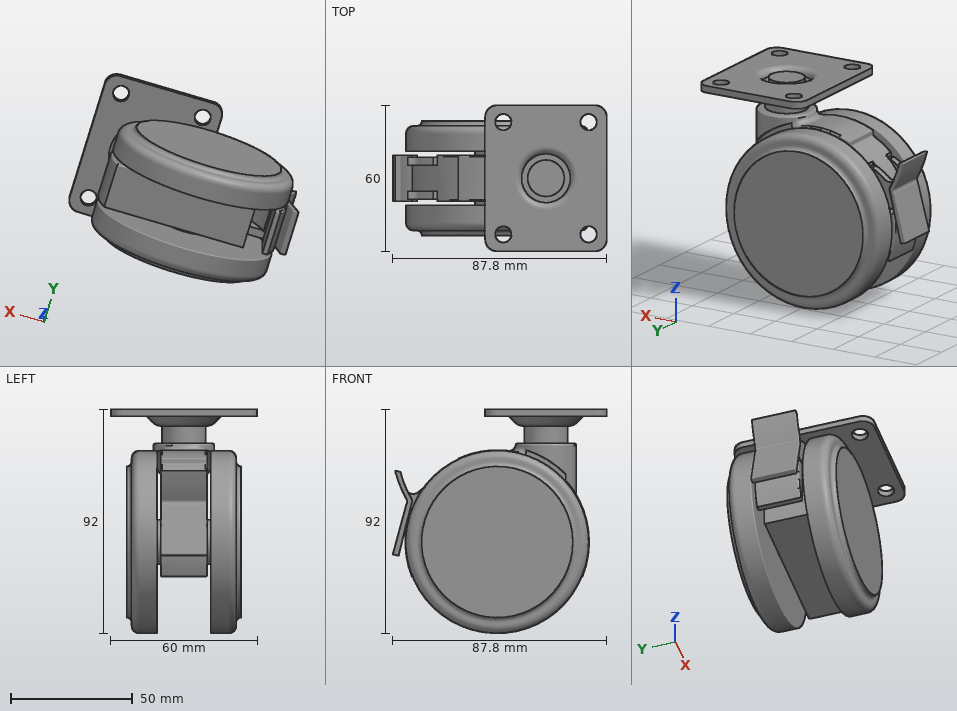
import cadquery as cq
import math


wheel_radius = 37.5
wheel_inner_y = 11.0
wheel_outer_y = 23.5
tread_round = 3.25
hub_face_radius = 31.0
hub_face_height = 2.0
wheel_inner_round = 0.5

swivel_x = 20.0
plate_length = 50.0
plate_width = 60.0
plate_thickness = 3.0
plate_top_z = 54.5
plate_bottom_z = plate_top_z - plate_thickness
plate_corner_radius = 5.0
screw_hole_diameter = 6.6
screw_spacing_x = 35.0
screw_spacing_y = 46.0

dish_floor_radius = 10.0
dish_depth = 3.0
dish_bottom_z = 47.5
dish_under_flat_radius = 9.0
dish_under_round = 5.4

pin_radius = 9.0
pin_head_radius = 7.5
pin_head_top_z = plate_top_z - 1.0
pin_bottom_round = 0.5

housing_half_width = 9.5
cover_radius = 37.75
cover_step = 2.0
body_radius = cover_radius - cover_step
cover_step_round = 0.7
cover_start_x = -16.0
housing_bottom_z = -14.2
housing_edge_round = 0.7
neck_radius = 12.5
neck_top_z = 40.5
neck_top_round = 1.0
neck_root_round = 2.5
wheel_clearance_radius = 39.5
axle_boss_radius = 9.2

fender_inner_x = -32.8
chamber_back_x = -24.5
notch_bottom_z = 7.0
tongue_half_width = 5.3

lever_half_width = 9.5
lever_edge_round = 0.4
arm_outer_y = 8.7
arm_bottom_z = notch_bottom_z + 1.5


def y_cylinder(radius, y_start, y_end):
    return cq.Workplane("XZ", origin=(0, y_start, 0)).circle(radius).extrude(y_start - y_end)


def box_between(x_range, y_range, z_range):
    corner = (x_range[0], y_range[0], z_range[0])
    size = (x_range[1] - x_range[0], y_range[1] - y_range[0], z_range[1] - z_range[0])
    return cq.Workplane("XY").box(*size, centered=False).translate(corner)


def make_wheel(side):
    """Wheel on the +Y (side = 1) or -Y (side = -1) end of the axle."""
    rim_face_y = wheel_outer_y - hub_face_height
    slant = math.sqrt(0.5)
    tread_mid = (
        wheel_radius - tread_round * (1 - slant),
        rim_face_y - tread_round * (1 - slant),
    )
    step_mid = (
        hub_face_radius + hub_face_height * (1 - slant),
        wheel_outer_y - hub_face_height * slant,
    )
    wheel = (
        cq.Workplane("XY")
        .moveTo(0, wheel_inner_y)
        .lineTo(wheel_radius, wheel_inner_y)
        .lineTo(wheel_radius, rim_face_y - tread_round)
        .threePointArc(tread_mid, (wheel_radius - tread_round, rim_face_y))
        .lineTo(hub_face_radius + hub_face_height, rim_face_y)
        .threePointArc(step_mid, (hub_face_radius, wheel_outer_y))
        .lineTo(0, wheel_outer_y)
        .close()
        .revolve(360, (0, 0, 0), (0, 1, 0))
        .faces("<Y")
        .edges()
        .fillet(wheel_inner_round)
    )
    return wheel if side > 0 else wheel.mirror("XZ")


def make_plate():
    """Rounded rectangular plate with a pressed dish, a pin hole and four screw holes."""
    slab = (
        cq.Workplane("XY", origin=(swivel_x, 0, plate_bottom_z))
        .rect(plate_length, plate_width)
        .extrude(plate_thickness)
        .edges("|Z")
        .fillet(plate_corner_radius)
    )
    slant = math.sqrt(0.5)
    cone_start_r = dish_under_flat_radius + dish_under_round * slant
    cone_start_z = dish_bottom_z + dish_under_round * (1 - slant)
    round_mid = (
        dish_under_flat_radius + dish_under_round * math.sin(math.pi / 8),
        dish_bottom_z + dish_under_round * (1 - math.cos(math.pi / 8)),
    )
    dish_outside = (
        cq.Workplane("XZ")
        .moveTo(0, dish_bottom_z)
        .lineTo(dish_under_flat_radius, dish_bottom_z)
        .threePointArc(round_mid, (cone_start_r, cone_start_z))
        .lineTo(cone_start_r + plate_bottom_z - cone_start_z, plate_bottom_z)
        .lineTo(0, plate_bottom_z)
        .close()
        .revolve(360, (0, 0, 0), (0, 1, 0))
        .translate((swivel_x, 0, 0))
    )
    dish_inside = (
        cq.Workplane("XZ")
        .moveTo(0, plate_top_z - dish_depth)
        .lineTo(dish_floor_radius, plate_top_z - dish_depth)
        .threePointArc(
            (dish_floor_radius + dish_depth * (1 - slant), plate_top_z - dish_depth * (1 - slant)),
            (dish_floor_radius + dish_depth, plate_top_z),
        )
        .lineTo(0, plate_top_z)
        .close()
        .revolve(360, (0, 0, 0), (0, 1, 0))
        .translate((swivel_x, 0, 0))
    )
    pin_hole = (
        cq.Workplane("XY", origin=(swivel_x, 0, dish_bottom_z))
        .circle(pin_head_radius)
        .extrude(plate_top_z - dish_bottom_z)
    )
    screw_holes = (
        cq.Workplane("XY", origin=(swivel_x, 0, plate_bottom_z))
        .rarray(screw_spacing_x, screw_spacing_y, 2, 2)
        .circle(screw_hole_diameter / 2)
        .extrude(plate_thickness)
    )
    return slab.union(dish_outside).cut(dish_inside).cut(pin_hole).cut(screw_holes)


def make_pin():
    """Pin standing on the neck, with its riveted head through the dish."""
    shank = (
        cq.Workplane("XY", origin=(swivel_x, 0, neck_top_z))
        .circle(pin_radius)
        .extrude(dish_bottom_z - neck_top_z)
        .faces("<Z")
        .edges()
        .fillet(pin_bottom_round)
    )
    head = (
        cq.Workplane("XY", origin=(swivel_x, 0, dish_bottom_z))
        .circle(pin_head_radius)
        .extrude(pin_head_top_z - dish_bottom_z)
    )
    return shank.union(head)


def make_housing_drum():
    """Drum with a raised cover over its top and back and a raised fender low in front."""
    reach = 2 * cover_radius
    full_y = (-wheel_outer_y, wheel_outer_y)
    body = y_cylinder(body_radius, -housing_half_width, housing_half_width)
    raised = y_cylinder(cover_radius, -housing_half_width, housing_half_width)
    raised = raised.cut(box_between((-reach, cover_start_x), full_y, (notch_bottom_z, reach)))
    drum = body.union(raised)
    drum = drum.cut(box_between((-reach, reach), full_y, (-reach, housing_bottom_z)))
    cover_edges = cq.selectors.BoxSelector(
        (cover_start_x - 1, -1, notch_bottom_z),
        (cover_start_x + 1, 1, cover_radius),
    )
    drum = drum.edges(cover_edges).fillet(cover_step_round)
    return drum.faces("|Y").edges().fillet(housing_edge_round)


def make_neck():
    """Swivel neck, trimmed flush with the drum sides where the wheels turn."""
    neck = (
        cq.Workplane("XY", origin=(swivel_x, 0, 0))
        .circle(neck_radius)
        .extrude(neck_top_z)
        .faces(">Z")
        .edges()
        .fillet(neck_top_round)
    )
    for side in (-1, 1):
        clearance = y_cylinder(wheel_clearance_radius, side * housing_half_width, side * wheel_outer_y)
        neck = neck.cut(clearance)
    return neck


def make_brake_chamber():
    """Cavity behind the fender, with a notch each side of the central tongue."""
    reach = 2 * cover_radius
    in_front = (-reach, chamber_back_x)
    chamber = y_cylinder(-fender_inner_x, -housing_half_width, housing_half_width)
    chamber = chamber.intersect(
        box_between(in_front, (-housing_half_width, housing_half_width), (-reach, reach))
    )
    chamber = chamber.union(
        box_between(
            (fender_inner_x, chamber_back_x),
            (-housing_half_width, housing_half_width),
            (housing_bottom_z, notch_bottom_z),
        )
    )
    for side in (-1, 1):
        y_range = sorted((side * tongue_half_width, side * housing_half_width))
        chamber = chamber.union(box_between(in_front, y_range, (notch_bottom_z, reach)))
    return chamber


def make_housing():
    drum = make_housing_drum()
    housing = drum.union(make_neck())
    root_box = cq.selectors.BoxSelector((5, -9, 34), (14, 9, 39.4))
    housing = housing.edges(root_box).fillet(neck_root_round)
    housing = housing.cut(make_brake_chamber())
    for side in (-1, 1):
        boss = y_cylinder(axle_boss_radius, side * (housing_half_width - 1), side * wheel_inner_y)
        housing = housing.union(boss)
    return housing


def make_lever():
    """Bent brake pedal with two arms reaching through the housing notches."""
    pedal = (
        cq.Workplane("XZ", origin=(0, lever_half_width, 0))
        .moveTo(-42.0, 29.5)
        .threePointArc((-39.7, 22.6), (-37.0, 17.05))
        .threePointArc((-36.97, 16.25), (-37.3, 15.4))
        .lineTo(-42.85, -5.1)
        .lineTo(-40.4, -5.7)
        .lineTo(-34.8, 17.2)
        .threePointArc((-37.5, 22.4), (-39.6, 28.7))
        .close()
        .extrude(2 * lever_half_width)
        .edges()
        .fillet(lever_edge_round)
    )
    for side in (-1, 1):
        arm = (
            cq.Workplane("XZ", origin=(0, side * tongue_half_width, 0))
            .moveTo(-35.4, 17.2)
            .lineTo(-37.3, 21.3)
            .threePointArc((-36.0, 20.1), (-34.4, 19.75))
            .threePointArc((-33.4, 19.9), (-32.6, 20.3))
            .threePointArc((-29.55, 22.6), (-26.3, 24.5))
            .lineTo(chamber_back_x, 24.5)
            .lineTo(chamber_back_x, arm_bottom_z)
            .lineTo(-36.8, arm_bottom_z)
            .close()
            .extrude(side * (tongue_half_width - arm_outer_y))
        )
        pedal = pedal.union(arm)
    return pedal


plate = make_plate()
pin = make_pin()
housing = make_housing()
lever = make_lever()
wheels = [make_wheel(side) for side in (-1, 1)]

result = cq.Compound.makeCompound(
    [
        plate.val(),
        pin.val(),
        housing.val(),
        lever.val(),
        *[wheel.val() for wheel in wheels],
    ]
)